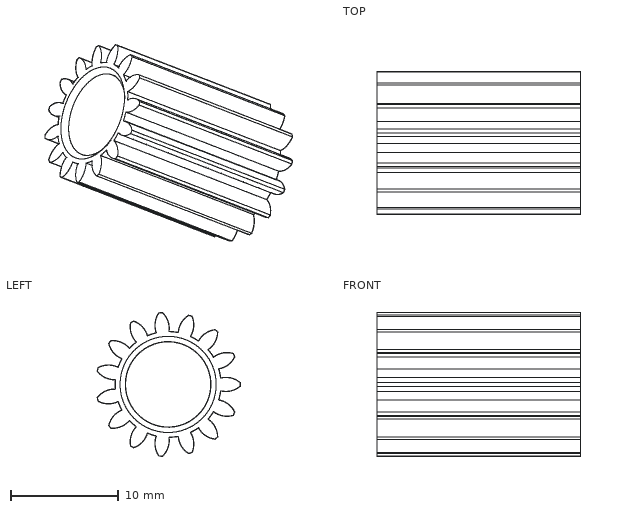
import cadquery as cq
import math

length = 19.05
tooth_count = 15
tip_radius = 6.75
root_radius = 4.95
bore_radius = 3.98
chamfer_size = 0.51

root_half_width = 0.61
middle_radius = 5.81
middle_half_width = 0.63
tip_half_width = 0.17


def make_tooth():
    """Tooth pointing along -Y, with its foot sunk into the hub wall."""
    foot_radius = (bore_radius + chamfer_size + root_radius) / 2
    root_y = -math.sqrt(root_radius**2 - root_half_width**2)
    tip_y = -math.sqrt(tip_radius**2 - tip_half_width**2)
    return (
        cq.Workplane("YZ")
        .moveTo(-foot_radius, -root_half_width)
        .lineTo(root_y, -root_half_width)
        .threePointArc((-middle_radius, -middle_half_width), (tip_y, -tip_half_width))
        .threePointArc((-tip_radius, 0), (tip_y, tip_half_width))
        .threePointArc((-middle_radius, middle_half_width), (root_y, root_half_width))
        .lineTo(-foot_radius, root_half_width)
        .close()
        .extrude(length)
    )


def make_hub():
    """Plain tube along X with a chamfer at both mouths of the bore."""
    tube = cq.Workplane("YZ").circle(root_radius).circle(bore_radius).extrude(length)
    bore_mouths = cq.selectors.RadiusNthSelector(0)
    return tube.faces("<X or >X").edges(bore_mouths).chamfer(chamfer_size)


result = make_hub()
tooth = make_tooth()
for index in range(tooth_count):
    turn = index * 360 / tooth_count
    result = result.union(tooth.rotate((0, 0, 0), (1, 0, 0), turn))